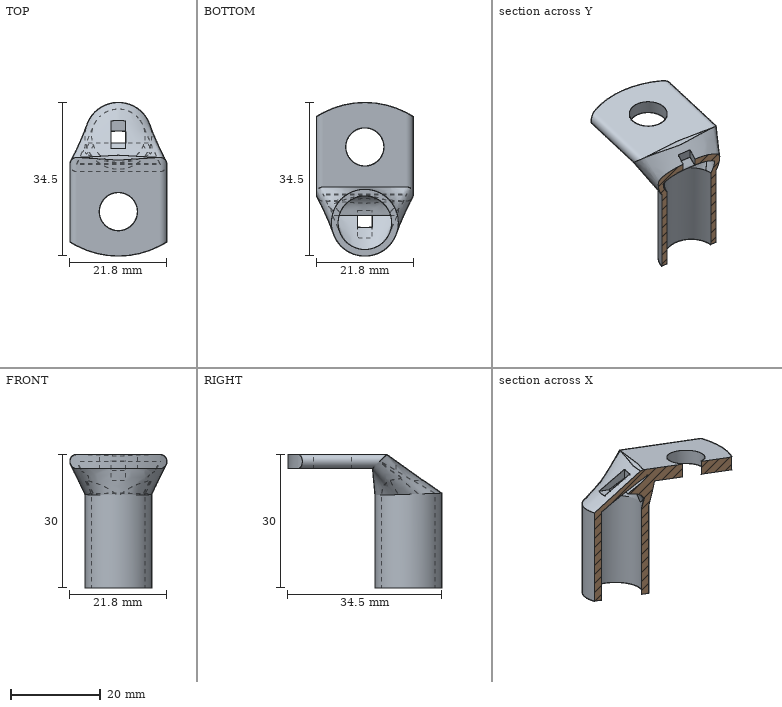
import cadquery as cq
import math


barrel_radius = 7.5
bore_radius = 6.0
barrel_back_height = 21.3
barrel_front_height = 20.8

total_height = 30.0
tongue_width = 21.8
tongue_thickness = 3.2
tongue_half_thickness = tongue_thickness / 2
tongue_mid_z = total_height - tongue_half_thickness
flat_half_width = tongue_width / 2 - tongue_half_thickness
tip_y = -27.0
tip_radius = 20.0
hole_diameter = 8.5
hole_to_tip = 10.0
hole_y = tip_y + hole_to_tip

mitre_mid_y = -6.45
mitre_tilt = 45.0
mitre_run = tongue_half_thickness / math.tan(math.radians(mitre_tilt))
ridge_y = mitre_mid_y + mitre_run

fold_back_run = 0.5
fold_back_drop = 0.36
fold_front_run = 0.6

side_half_angle = 22.0

slit_half_gap = 0.1
bend_inner_y = -1.66
bend_inner_z = 24.6

window_width = 3.2
window_bottom_z = 24.15
window_top_z = 28.6
window_front_y = -2.8
window_inner_y = 0.0
window_inner_z = 25.9

barrel_mid_height = (barrel_back_height + barrel_front_height) / 2
barrel_tilt = math.degrees(math.atan2(barrel_back_height - barrel_front_height, 2 * barrel_radius))


def side_plane(width):
    """YZ plane at the -X face of a centred block; extruding by the width fills the block."""
    return cq.Workplane("YZ", origin=(-width / 2, 0, 0))


def elliptic_arc(center, x_radius, tilt, depth_radius, start, end):
    """Arc in a plane tilted about X; angles run from +X towards the +Y/+Z side."""
    angle = math.radians(tilt)
    normal = cq.Vector(0, -math.sin(angle), math.cos(angle))
    return cq.Edge.makeEllipse(x_radius, depth_radius, center, normal, cq.Vector(1, 0, 0), start, end)


def round_section(radius):
    """Slice of a vertical cylinder by the tilted top plane of the barrel, in four arcs."""
    center = cq.Vector(0, 0, barrel_mid_height)
    depth_radius = radius / math.cos(math.radians(barrel_tilt))
    side = side_half_angle
    breaks = [-side, side, 180 - side, 180 + side, 360 - side]
    arcs = []
    for start, end in zip(breaks, breaks[1:]):
        arcs.append(elliptic_arc(center, radius, barrel_tilt, depth_radius, start, end))
    return cq.Wire.assembleEdges(arcs)


def flat_section(half_thickness):
    """Slice of the tongue by the mitre plane: two flats joined by rounded ends."""
    depth_radius = half_thickness / math.sin(math.radians(mitre_tilt))
    right_center = cq.Vector(flat_half_width, mitre_mid_y, tongue_mid_z)
    left_center = cq.Vector(-flat_half_width, mitre_mid_y, tongue_mid_z)
    right = elliptic_arc(right_center, half_thickness, mitre_tilt, depth_radius, -90, 90)
    left = elliptic_arc(left_center, half_thickness, mitre_tilt, depth_radius, 90, 270)
    upper = cq.Edge.makeLine(right.endPoint(), left.startPoint())
    lower = cq.Edge.makeLine(left.endPoint(), right.startPoint())
    return cq.Wire.assembleEdges([right, upper, left, lower])


def neck_loft(radius, half_thickness):
    """Straight-ruled transition from the round barrel to the flat tongue."""
    sections = [round_section(radius), flat_section(half_thickness)]
    return cq.Workplane(cq.Solid.makeLoft(sections, True))


def barrel_column(radius):
    """Vertical cylinder from the base up to the tilted top plane of the barrel."""
    side = (
        side_plane(2 * barrel_radius)
        .moveTo(-barrel_radius, 0)
        .lineTo(barrel_radius, 0)
        .lineTo(barrel_radius, barrel_back_height)
        .lineTo(-barrel_radius, barrel_front_height)
        .close()
        .extrude(2 * barrel_radius)
    )
    return cq.Workplane("XY").circle(radius).extrude(barrel_back_height).intersect(side)


def tongue():
    """Flat tongue with rounded long edges, a mitred root, an arched tip and a bolt hole."""
    bar = (
        cq.Workplane("XZ")
        .center(0, tongue_mid_z)
        .slot2D(tongue_width, tongue_thickness)
        .extrude(-tip_y)
    )
    side = (
        side_plane(tongue_width)
        .moveTo(tip_y, total_height)
        .lineTo(ridge_y, total_height)
        .lineTo(mitre_mid_y - mitre_run, total_height - tongue_thickness)
        .lineTo(tip_y, total_height - tongue_thickness)
        .close()
        .extrude(tongue_width)
    )
    tip = cq.Workplane("XY").center(0, tip_y + tip_radius).circle(tip_radius).extrude(total_height)
    hole = cq.Workplane("XY").center(0, hole_y).circle(hole_diameter / 2).extrude(total_height)
    return bar.intersect(side).intersect(tip).cut(hole)


def neck_cavity():
    """Hollow of the neck; its front wall bulges backwards around the inside of the bend."""
    side = (
        side_plane(tongue_width)
        .moveTo(-bore_radius, barrel_front_height)
        .spline(
            [(bend_inner_y, bend_inner_z), (mitre_mid_y, tongue_mid_z)],
            tangents=[(0, 1), (-1, 1)],
            includeCurrent=True,
        )
        .lineTo(barrel_radius, total_height)
        .lineTo(barrel_radius, barrel_front_height)
        .close()
        .extrude(tongue_width)
    )
    return neck_loft(bore_radius, slit_half_gap).intersect(side)


def fold_facets():
    """Cutter whose two lower faces are the shallow triangular facets along the ridge."""
    left = cq.Vector(-flat_half_width, ridge_y, total_height)
    right = cq.Vector(flat_half_width, ridge_y, total_height)
    back = cq.Vector(0, ridge_y + fold_back_run, total_height - fold_back_drop)
    front = cq.Vector(0, ridge_y - fold_front_run, total_height)
    above = cq.Vector(0, ridge_y, total_height + fold_front_run)
    faces = []
    for edge in (left, right):
        for first, second in ((back, front), (back, above), (front, above)):
            outline = cq.Wire.makePolygon([edge, first, second], close=True)
            faces.append(cq.Face.makeFromWires(outline))
    return cq.Workplane(cq.Solid.makeSolid(cq.Shell.makeShell(faces)))


def inspection_window():
    """Window cut horizontally through the back wall, stopping inside the cavity."""
    return (
        side_plane(window_width)
        .moveTo(barrel_radius, window_bottom_z)
        .lineTo(window_inner_y, window_bottom_z)
        .lineTo(window_front_y, window_inner_z)
        .lineTo(window_front_y, window_top_z)
        .lineTo(barrel_radius, window_top_z)
        .close()
        .extrude(window_width)
    )


neck = neck_loft(barrel_radius, tongue_half_thickness)
outside = barrel_column(barrel_radius).union(neck).union(tongue())
hollow = outside.cut(barrel_column(bore_radius)).cut(neck_cavity())
result = hollow.cut(inspection_window()).cut(fold_facets())